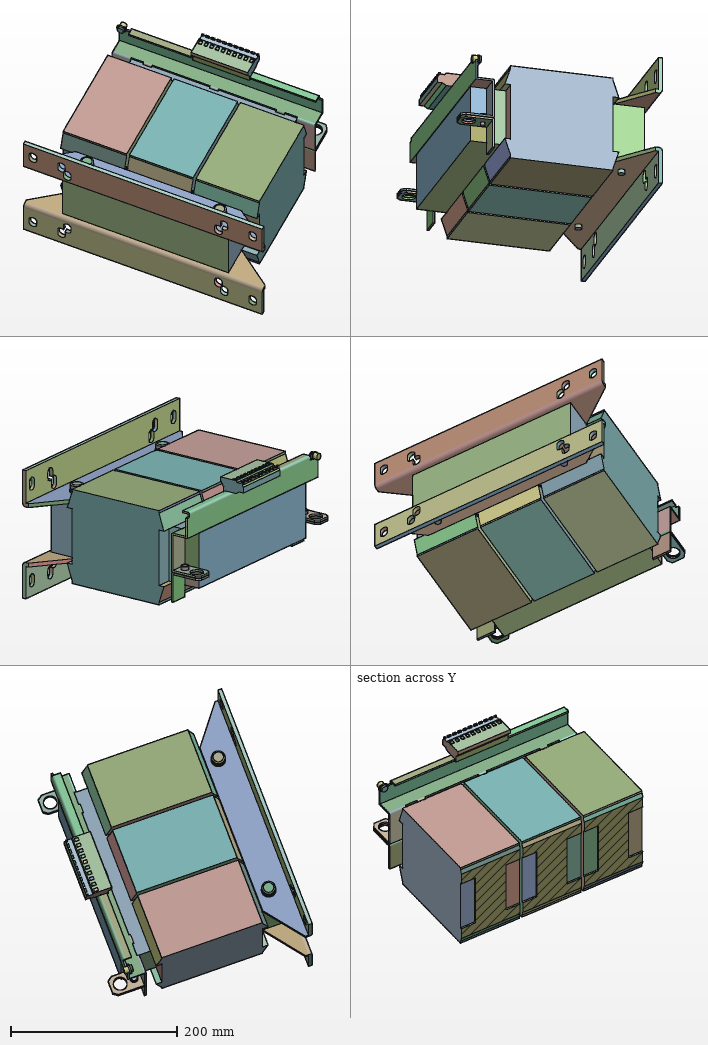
import cadquery as cq


leg = 43.9
core_width = 5 * leg
core_stack = 71.0
core_front = 7.7
core_half_z = core_stack / 2
core_back = core_front + core_width
core_edge = core_width / 2

coil_pitch = 2 * leg
coil_width = 84.2
coil_height = 120.6
coil_body_front = 53.5
coil_body_back = 182.5
coil_overhang = 7.3
coil_taper_z = 57.2

foot_length = 316.0
foot_half_length = foot_length / 2
foot_sheet = 5.0
foot_top = 82.0
foot_flange_depth = 45.8
foot_straight_end = 8.7
foot_slot_height = 16.4
foot_slot_width = 9.8
end_slot_x = 145.3
end_slot_z = 61.8
outer_key_x = 107.5
outer_key_z = 62.8
inner_key_x = 100.0
inner_key_z = 50.8

bolt_x = coil_pitch
bolt_y = 30.2
bolt_diameter = 8.5
bolt_tip_z = -45.2
washer_diameter = 17.8
washer_height = 1.8
spring_washer_diameter = 15.8
spring_washer_height = 2.4
head_diameter = 16.4
head_height = 6.0
head_chamfer_height = 1.2
head_chamfer_width = 2.0

sheet = 2.5
bracket_half_length = 134.2
leg_front = 204.0
flange_front = 207.0
rail_back = 227.8
rail_top = 67.5
rail_lip_front = 217.0
rail_lip_left = -118.4
rail_lip_right = 129.6
rail_shoulder_z = 61.0
rail_slope = 5.5
rail_bend_radius = 3.0
lower_leg_bottom = -50.6
lug_joint_z = -12.5
lug_gap = 0.6
lug_back = 245.5
lug_width = bracket_half_length - core_edge
lug_corner_x = 4.2
lug_corner_y = 5.6
lug_hole_diameter = 16.4
lug_hole_y = 233.0
lug_x = core_edge + lug_width / 2
tab_width = 11.5
tab_front = 205.0
tab_bend_radius = 1.8
lug_bend_radius = 2.2

screw_y = 215.3
screw_head_diameter = 9.6
screw_head_height = 5.0
screw_head_chamfer = 0.9
screw_diameter = 5.4
screw_tail = 3.8

earth_x = -130.6
earth_z = 63.4
earth_screw_diameter = 8.4
earth_screw_end = 3.5
earth_clamp_width = 12.4
earth_clamp_depth = 2.0
earth_head_depth = 4.8

pole_pitch = 7.5
pole_count = 10
strip_left = -32.5
strip_length = pole_count * pole_pitch
strip_top = 84.0
strip_back = 244.6
pocket_width = 3.8
pocket_length = 4.8
pocket_y = 229.7
pocket_depth = 1.0
ridge_front = 240.8
ridge_back = 242.9
ridge_top = 83.6
ridge_foot = 81.8
ridge_bottom = 80.0
step_front = 235.1
top_edge_front = 210.7
top_edge_back = 233.9
front_face_bottom = 78.5
hook_front = 215.3
hook_back = 220.4
hook_top = 72.3
hook_bottom = 64.0
seat_back = 233.6
belly_back = 238.5
back_face_bottom = 70.5
back_face_top = 77.9
ridge_notch_width = 3.0


def box(x0, x1, y0, y1, z0, z1):
    """Axis-aligned block between two opposite corners."""
    return cq.Workplane("XY").box(x1 - x0, y1 - y0, z1 - z0, centered=False).translate((x0, y0, z0))


def rod(x, y, z0, z1, diameter):
    """Cylinder along Z."""
    return cq.Workplane("XY", origin=(x, y, z0)).circle(diameter / 2).extrude(z1 - z0)


def extrude_along_x(points, x0, x1):
    """Prism along X of an outline given as (y, z) points."""
    return cq.Workplane("YZ", origin=(x0, 0, 0)).polyline(points).close().extrude(x1 - x0)


def round_bend(body, x, y, z, radius):
    """Round the edge whose middle is nearest to the given point."""
    return body.edges(cq.selectors.NearestToPointSelector((x, y, z))).fillet(radius)


def make_core():
    core = box(-core_edge, core_edge, core_front, core_back, -core_half_z, core_half_z)
    for side in (-1, 1):
        window_x = side * leg
        window = box(
            window_x - leg / 2, window_x + leg / 2,
            core_front + leg, core_back - leg,
            -core_half_z, core_half_z,
        )
        core = core.cut(window)
    return core


def make_coil(x):
    """Coil with tapered ends that overhang the yokes above and below the core."""
    top = coil_height / 2
    front = coil_body_front
    back = coil_body_back
    outline = [
        (front, top), (back, top), (back, coil_taper_z),
        (back + coil_overhang, core_half_z), (back, core_half_z),
        (back, -core_half_z), (back + coil_overhang, -core_half_z),
        (back, -coil_taper_z), (back, -top), (front, -top), (front, -coil_taper_z),
        (front - coil_overhang, -core_half_z), (front, -core_half_z),
        (front, core_half_z), (front - coil_overhang, core_half_z),
        (front, coil_taper_z),
    ]
    return extrude_along_x(outline, x - coil_width / 2, x + coil_width / 2)


def slot_cutter(x, z):
    """Upright slot through the vertical plate of a foot."""
    return (
        cq.Workplane("XZ", origin=(x, 0, z))
        .slot2D(foot_slot_height, foot_slot_width, 90)
        .extrude(-foot_sheet)
    )


def make_upper_foot():
    """Angle with a trapezoidal flange lying on the core."""
    flange_top = core_half_z + foot_sheet
    plate = box(-foot_half_length, foot_half_length, 0, foot_sheet, core_half_z, foot_top)
    flange = (
        cq.Workplane("XY", origin=(0, 0, core_half_z))
        .polyline([
            (-foot_half_length, 0), (foot_half_length, 0),
            (foot_half_length, foot_straight_end), (core_edge, foot_flange_depth),
            (-core_edge, foot_flange_depth), (-foot_half_length, foot_straight_end),
        ])
        .close()
        .extrude(flange_top - core_half_z)
    )
    foot = plate.union(flange)
    foot = round_bend(foot, 0, 0, core_half_z, foot_sheet)
    for side in (-1, 1):
        foot = foot.cut(slot_cutter(side * end_slot_x, end_slot_z))
        foot = foot.cut(slot_cutter(side * outer_key_x, outer_key_z))
        foot = foot.cut(slot_cutter(side * inner_key_x, inner_key_z))
    return foot


def make_foot_bolt(x):
    """Bolt with two washers, passing through both feet and the yoke."""
    seat = core_half_z + foot_sheet
    washer_top = seat + washer_height
    head_bottom = washer_top + spring_washer_height
    head_top = head_bottom + head_height
    head = rod(x, bolt_y, head_bottom, head_top, head_diameter)
    head = head.faces(">Z").chamfer(head_chamfer_height, head_chamfer_width)
    bolt = rod(x, bolt_y, bolt_tip_z, head_bottom, bolt_diameter)
    bolt = bolt.union(rod(x, bolt_y, seat, washer_top, washer_diameter))
    bolt = bolt.union(rod(x, bolt_y, washer_top, head_bottom, spring_washer_diameter))
    return bolt.union(head)


def make_rail():
    """Upper bracket: flange on the core, upright rail and folded terminal lip."""
    flange_top = core_half_z + sheet
    upright_top = rail_top - sheet - rail_bend_radius
    flange = box(
        -bracket_half_length, bracket_half_length,
        flange_front, rail_back,
        core_half_z, flange_top,
    )
    upright = (
        cq.Workplane("XZ", origin=(0, rail_back, 0))
        .polyline([
            (-bracket_half_length, core_half_z), (bracket_half_length, core_half_z),
            (bracket_half_length, rail_shoulder_z), (rail_lip_right, upright_top),
            (rail_lip_left, upright_top), (rail_lip_left - rail_slope, rail_shoulder_z),
            (-bracket_half_length, rail_shoulder_z),
        ])
        .close()
        .extrude(sheet)
    )
    lip = box(rail_lip_left, rail_lip_right, rail_lip_front, rail_back, rail_top - sheet, rail_top)
    bend = box(rail_lip_left, rail_lip_right, rail_back - sheet, rail_back, upright_top, rail_top)
    lip = lip.union(bend).edges(">Y and >Z").fillet(rail_bend_radius)
    rail = flange.union(upright).union(lip)
    for x in (-coil_pitch, 0, coil_pitch):
        tab = box(x - tab_width / 2, x + tab_width / 2, tab_front, flange_front, core_half_z, flange_top)
        tab = tab.edges("<Y and >Z").fillet(tab_bend_radius)
        rail = rail.union(tab)
    return rail


def lug_plate(z0):
    """Lifting lug with cropped corners and an eye."""
    inner = core_edge
    outer = bracket_half_length
    plate = (
        cq.Workplane("XY", origin=(0, 0, z0))
        .polyline([
            (inner, leg_front), (outer, leg_front), (outer, lug_back - lug_corner_y),
            (outer - lug_corner_x, lug_back), (inner + lug_corner_x, lug_back),
            (inner, lug_back - lug_corner_y),
        ])
        .close()
        .extrude(sheet)
    )
    return plate.cut(rod(lug_x, lug_hole_y, z0, z0 + sheet, lug_hole_diameter))


def make_right_lug():
    """Side legs of both rear brackets, their stacked lugs and the lug screw."""
    inner = core_edge
    outer = bracket_half_length
    leg_back = leg_front + sheet
    flange_top = core_half_z + sheet
    upper_lug_bottom = lug_joint_z + lug_gap / 2
    upper_lug_top = upper_lug_bottom + sheet
    lower_lug_top = lug_joint_z - lug_gap / 2
    lower_lug_bottom = lower_lug_top - sheet

    upper = box(inner, outer, leg_front, leg_back, upper_lug_bottom, flange_top)
    upper = upper.union(box(inner, outer, leg_front, flange_front, core_half_z, flange_top))
    upper = upper.union(lug_plate(upper_lug_bottom))
    upper = round_bend(upper, lug_x, leg_front, flange_top, sheet)
    upper = round_bend(upper, lug_x, leg_front, upper_lug_bottom, lug_bend_radius)

    lower = box(inner, outer, leg_front, leg_back, lower_leg_bottom, lower_lug_top)
    lower = lower.union(lug_plate(lower_lug_bottom))
    lower = round_bend(lower, lug_x, leg_front, lower_lug_top, lug_bend_radius)

    screw = rod(lug_x, screw_y, upper_lug_top, upper_lug_top + screw_head_height, screw_head_diameter)
    screw = screw.faces(">Z").chamfer(screw_head_chamfer)
    screw = screw.union(rod(lug_x, screw_y, lower_lug_bottom - screw_tail, upper_lug_top, screw_diameter))
    return upper.union(lower).union(screw)


def make_earth_terminal():
    """Screw through the left end of the rail, with a rounded clamp plate in front."""
    rail_front = rail_back - sheet
    screw = (
        cq.Workplane("XZ", origin=(earth_x, rail_back + earth_screw_end, earth_z))
        .circle(earth_screw_diameter / 2)
        .extrude(earth_screw_end + sheet + earth_head_depth)
    )
    clamp = (
        cq.Workplane("XZ", origin=(earth_x, rail_front, earth_z))
        .slot2D(earth_clamp_width, earth_screw_diameter)
        .extrude(earth_clamp_depth)
    )
    return screw.union(clamp)


def make_terminal_strip():
    """Row of terminals clipped over the rail lip, with one wire pocket per pole."""
    lip_underside = rail_top - sheet
    outline = [
        (top_edge_back, strip_top), (top_edge_front, strip_top),
        (top_edge_front, front_face_bottom), (hook_front, hook_top),
        (hook_front, hook_bottom), (hook_back, hook_bottom), (hook_back, lip_underside),
        (rail_lip_front, lip_underside), (rail_lip_front, rail_top),
        (seat_back, rail_top), (belly_back, back_face_bottom),
        (strip_back, back_face_bottom), (strip_back, back_face_top),
        (ridge_back, ridge_bottom), (ridge_back, ridge_top), (ridge_front, ridge_top),
        (ridge_front, ridge_foot), (step_front, ridge_foot),
    ]
    strip = extrude_along_x(outline, strip_left, strip_left + strip_length)
    for pole in range(pole_count):
        x = strip_left + (pole + 0.5) * pole_pitch
        pocket = box(
            x - pocket_width / 2, x + pocket_width / 2,
            pocket_y - pocket_length / 2, pocket_y + pocket_length / 2,
            strip_top - pocket_depth, strip_top,
        )
        notch = box(
            x - ridge_notch_width / 2, x + ridge_notch_width / 2,
            ridge_front, ridge_back, ridge_foot, ridge_top,
        )
        strip = strip.cut(pocket).cut(notch)
    return strip


upper_foot = make_upper_foot()
right_lug = make_right_lug()

result = make_core()
for coil_x in (-coil_pitch, 0, coil_pitch):
    result = result.union(make_coil(coil_x))
result = result.union(upper_foot).union(upper_foot.mirror("XY"))
for side in (-1, 1):
    result = result.union(make_foot_bolt(side * bolt_x))
result = result.union(make_rail())
result = result.union(right_lug).union(right_lug.mirror("YZ"))
result = result.union(make_earth_terminal())
result = result.union(make_terminal_strip())